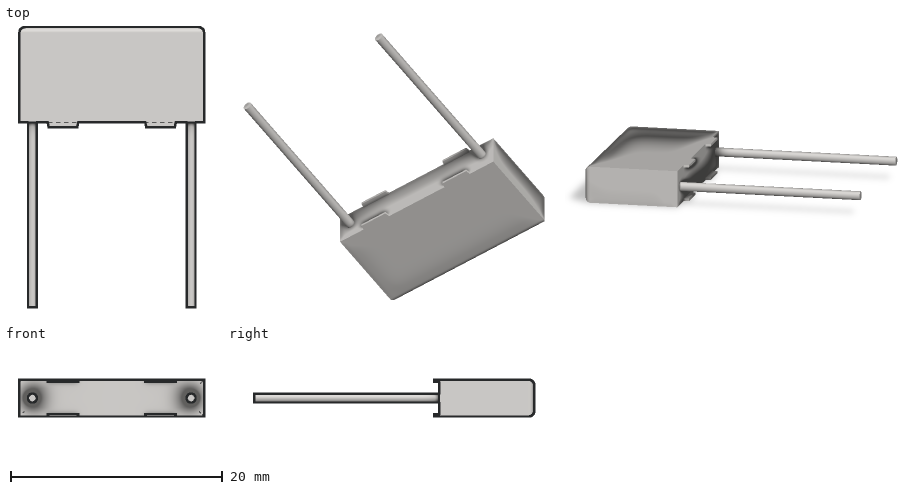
import cadquery as cq


case_width = 17.5
case_depth = 9.0
case_height = 3.5
back_edge_radius = 0.55

tab_spacing = 9.22
tab_root_width = 2.92
tab_side_taper = 0.1
tab_length = 0.48
tab_thickness = 0.25

total_depth = 26.5
lead_length = total_depth - case_depth
lead_diameter = 0.85
lead_spacing = 15.0


def make_tab(center_x, bottom_z):
    """Trapezoidal plate that projects forward from the front face and narrows to its tip."""
    root_half = tab_root_width / 2
    tip_half = root_half - tab_side_taper
    return (
        cq.Workplane("XY", origin=(center_x, 0, bottom_z))
        .moveTo(-root_half, 0)
        .lineTo(-tip_half, -tab_length)
        .lineTo(tip_half, -tab_length)
        .lineTo(root_half, 0)
        .close()
        .extrude(tab_thickness)
    )


def make_case():
    """Solid box, rounded around its back face, with a row of tabs at the top and at the bottom."""
    case = (
        cq.Workplane("XY")
        .box(case_width, case_depth, case_height, centered=(True, False, True))
        .faces(">Y")
        .edges()
        .fillet(back_edge_radius)
    )
    bottom_row_z = -case_height / 2
    top_row_z = case_height / 2 - tab_thickness
    for center_x in (-tab_spacing / 2, tab_spacing / 2):
        for bottom_z in (bottom_row_z, top_row_z):
            case = case.union(make_tab(center_x, bottom_z))
    return case


def make_lead(center_x):
    """Straight round wire that starts on the front face and runs toward -Y."""
    return (
        cq.Workplane("XZ", origin=(center_x, 0, 0))
        .circle(lead_diameter / 2)
        .extrude(lead_length)
    )


case = make_case()
leads = [make_lead(center_x) for center_x in (-lead_spacing / 2, lead_spacing / 2)]

result = cq.Compound.makeCompound([case.val(), *[lead.val() for lead in leads]])